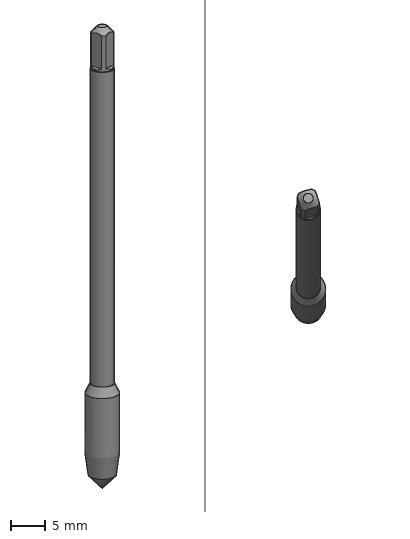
import cadquery as cq

total_length = 71.8

head_radius = 5.1 / 2
shoulder_top_radius = 1.8
nose_end_radius = 2.1
point_height = 2.15
nose_height = 3.45
head_body_top = 14.9
head_top = 16.4
nose_start = point_height + nose_height

shaft_radius = 3.5 / 2
socket_depth = 7.2
rod_bottom = head_top - socket_depth

neck_radius = 3.4 / 2
shaft_top = 65.2
drive_across_flats = 2.8
flat_bottom = 65.8
tip_radius = 0.7
tip_chamfer_height = 1.0
flat_count = 4


def make_head():
    outer = (
        cq.Workplane("XZ")
        .lineTo(nose_end_radius, point_height)
        .lineTo(head_radius, nose_start)
        .lineTo(head_radius, head_body_top)
        .lineTo(shoulder_top_radius, head_top)
        .lineTo(0, head_top)
        .close()
        .revolve(360, (0, 0, 0), (0, 1, 0))
    )
    socket = cq.Workplane("XY", origin=(0, 0, rod_bottom)).circle(shaft_radius).extrude(socket_depth)
    return outer.cut(socket)


def make_round_rod():
    shaft_edge_chamfer = shaft_radius - neck_radius
    return (
        cq.Workplane("XZ")
        .moveTo(0, rod_bottom)
        .lineTo(shaft_radius, rod_bottom)
        .lineTo(shaft_radius, shaft_top)
        .lineTo(neck_radius, shaft_top + shaft_edge_chamfer)
        .lineTo(neck_radius, total_length - tip_chamfer_height)
        .lineTo(tip_radius, total_length)
        .lineTo(0, total_length)
        .close()
        .revolve(360, (0, 0, 0), (0, 1, 0))
    )


def make_flat_cutter():
    """Cutter for one drive flat on the +X side, with a 45 degree run-out at its lower end."""
    flat_distance = drive_across_flats / 2
    cut_depth = shaft_radius - flat_distance
    return (
        cq.Workplane("XZ")
        .moveTo(flat_distance, total_length)
        .lineTo(flat_distance, flat_bottom)
        .lineTo(shaft_radius, flat_bottom - cut_depth)
        .lineTo(shaft_radius, total_length)
        .close()
        .extrude(shaft_radius, both=True)
    )


def make_rod():
    rod = make_round_rod()
    flat_cutter = make_flat_cutter()
    for index in range(flat_count):
        angle = index * 360 / flat_count
        rod = rod.cut(flat_cutter.rotate((0, 0, 0), (0, 0, 1), angle))
    return rod


head = make_head()
rod = make_rod()
result = cq.Compound.makeCompound([head.val(), rod.val()])